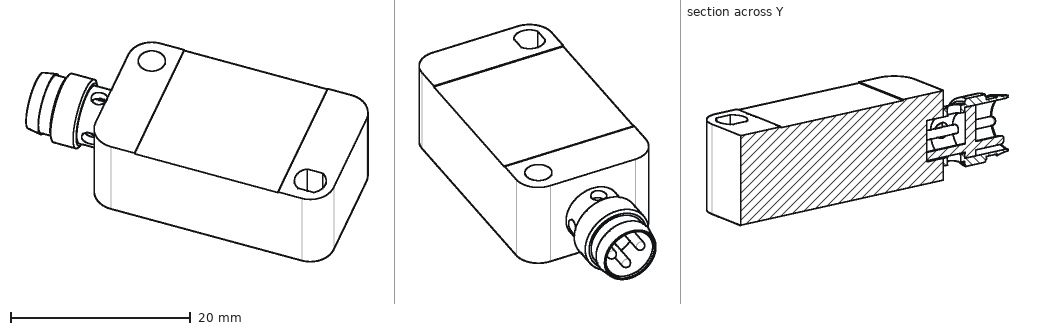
import cadquery as cq

overall_length = 37.2
connector_length = 9.0
housing_front_x = connector_length

housing_length = overall_length - connector_length
housing_width = 16.3
housing_height = 10.5
axis_height = 5.0
corner_radius = 2.8
end_land_length = 5.6
recess_depth = 0.1
connector_pocket_depth = 2.25
mounting_hole_diameter = 3.0
wide_hole_diameter = 3.55

shell_radius = 3.35
mouth_radius = 3.25
barb_radius = 3.5
barb_length = 1.53
collar_radius = 3.98
collar_face_radius = 3.6
collar_start_x = 2.98
collar_length = 3.1
collar_bevel_length = 0.22
cross_hole_diameter = 1.8
cross_hole_setback = 1.5

front_bore_radius = 2.95
rear_bore_radius = 2.38
bore_step_x = 5.95
mouth_chamfer_depth = 0.22
mouth_chamfer_width = 0.1

insert_thickness = 1.5
pin_radius = 0.52
pin_circle_radius = 1.8
pin_tip_x = 0.52
PIN_DIRECTIONS = [(1, 0), (-1, 0), (0, -1)]


def make_housing():
    """Rounded block with a shallow recess across its top and two mounting holes, and a connector pocket."""
    base_z = -axis_height
    center_x = housing_front_x + housing_length / 2
    base_plane = cq.Workplane("XY", origin=(center_x, 0, base_z))
    block = (
        base_plane.rect(housing_length, housing_width)
        .extrude(housing_height)
        .edges("|Z")
        .fillet(corner_radius)
    )

    recess_length = housing_length - 2 * end_land_length
    recess = (
        base_plane.workplane(offset=housing_height - recess_depth)
        .rect(recess_length, housing_width)
        .extrude(recess_depth)
    )

    hole_dx = housing_length / 2 - corner_radius
    hole_dy = housing_width / 2 - corner_radius
    round_hole = (
        base_plane.center(-hole_dx, hole_dy)
        .circle(mounting_hole_diameter / 2)
        .extrude(housing_height)
    )
    flat_sides = (
        base_plane.center(hole_dx, -hole_dy)
        .rect(wide_hole_diameter, mounting_hole_diameter)
        .extrude(housing_height)
    )
    flattened_hole = (
        base_plane.center(hole_dx, -hole_dy)
        .circle(wide_hole_diameter / 2)
        .extrude(housing_height)
        .intersect(flat_sides)
    )

    connector_pocket = (
        cq.Workplane("YZ", origin=(housing_front_x, 0, 0))
        .circle(rear_bore_radius)
        .extrude(connector_pocket_depth)
    )

    for cutter in (recess, round_hole, flattened_hole, connector_pocket):
        block = block.cut(cutter)
    return block


def make_shell():
    """Tubular shell with a snap-in barb, a bevelled collar and two crossing holes."""
    collar_end_x = collar_start_x + collar_length
    outside = [
        (0, mouth_radius),
        (barb_length, barb_radius),
        (barb_length, shell_radius),
        (collar_start_x, shell_radius),
        (collar_start_x, collar_face_radius),
        (collar_start_x + collar_bevel_length, collar_radius),
        (collar_end_x - collar_bevel_length, collar_radius),
        (collar_end_x, collar_face_radius),
        (collar_end_x, shell_radius),
        (housing_front_x, shell_radius),
    ]
    inside = [
        (housing_front_x, rear_bore_radius),
        (bore_step_x, rear_bore_radius),
        (bore_step_x, front_bore_radius),
        (mouth_chamfer_depth, front_bore_radius),
        (0, front_bore_radius + mouth_chamfer_width),
    ]
    shell = (
        cq.Workplane("XY")
        .polyline(outside + inside)
        .close()
        .revolve(360, (0, 0, 0), (1, 0, 0))
    )

    cross_hole_x = housing_front_x - cross_hole_setback
    for plane in ("XY", "XZ"):
        cross_hole = (
            cq.Workplane(plane, origin=(cross_hole_x, 0, 0))
            .circle(cross_hole_diameter / 2)
            .extrude(shell_radius, both=True)
        )
        shell = shell.cut(cross_hole)
    return shell


def make_pin(y, z):
    """Contact pin with a hemispherical tip, reaching back to the floor of the connector pocket."""
    dome_x = pin_tip_x + pin_radius
    shank = (
        cq.Workplane("YZ", origin=(dome_x, y, z))
        .circle(pin_radius)
        .extrude(housing_front_x + connector_pocket_depth - dome_x)
    )
    dome = cq.Workplane("XY", origin=(dome_x, y, z)).sphere(pin_radius)
    return shank.union(dome)


def make_contact_insert():
    """Disc seated on the step of the shell bore, carrying the three pins."""
    insert = (
        cq.Workplane("YZ", origin=(bore_step_x - insert_thickness, 0, 0))
        .circle(front_bore_radius)
        .extrude(insert_thickness)
    )
    for y_direction, z_direction in PIN_DIRECTIONS:
        pin = make_pin(y_direction * pin_circle_radius, z_direction * pin_circle_radius)
        insert = insert.union(pin)
    return insert


housing = make_housing()
shell = make_shell()
contact_insert = make_contact_insert()

result = cq.Compound.makeCompound([housing.val(), shell.val(), contact_insert.val()])